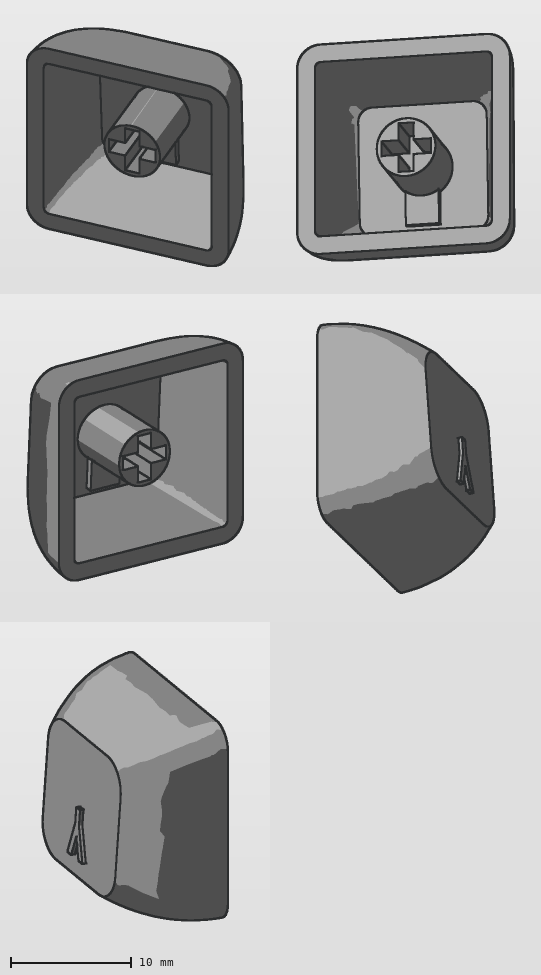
import cadquery as cq
import math


base_size = 18.1
base_radius = 2.0
crown_size = 12.62
crown_radius = 2.66
crown_height = 8.9
crown_tilt = 4.0

wall = 1.52
opening_size = base_size - 2 * wall
opening_radius = 0.5
ceiling_size = 10.93
ceiling_radius = 1.18
ceiling_drop = 0.05
crown_thickness = 1.5
ceiling_height = crown_height - crown_thickness

stem_diameter = 5.0
stem_start = 1.0
cross_length = 4.2
cross_slot = 1.27
cross_depth = 3.98

tile_width = 2.82
tile_top = 0.0
tile_bottom = -4.89
tile_thickness = 0.63
glyph_top = -0.13
glyph_fork = -1.57
glyph_bottom = -4.63
glyph_width = 2.62
stroke = 0.65
glyph_height = 0.33


def tilted_plane(height, tilt, drop=0.0):
    """Sketch plane facing +Y at the given height; its local y axis runs along +Z."""
    angle = math.radians(tilt)
    normal = (0, math.cos(angle), math.sin(angle))
    return cq.Plane(origin=(0, height, -drop), xDir=(-1, 0, 0), normal=normal)


def rounded_square(plane, size, radius):
    square = cq.Workplane(plane).rect(size, size).extrude(0.18)
    rounded = square.edges(cq.selectors.ParallelDirSelector(plane.zDir)).fillet(radius)
    return rounded.faces(cq.selectors.DirectionMinMaxSelector(plane.zDir, False)).val().outerWire()


def domed_loft(size_0, radius_0, size_1, radius_1, height, drop=0.0):
    """Solid whose sides leave the base square to it and curve in along a parabola."""
    quarter = 0.25
    mid_size = size_0 + quarter * (size_1 - size_0)
    mid_radius = radius_0 + quarter * (radius_1 - radius_0)
    sections = [
        rounded_square(tilted_plane(0, 0), size_0, radius_0),
        rounded_square(tilted_plane(height / 2, crown_tilt / 2, drop * quarter), mid_size, mid_radius),
        rounded_square(tilted_plane(height, crown_tilt, drop), size_1, radius_1),
    ]
    return cq.Workplane(cq.Solid.makeLoft(sections))


def make_stem(cavity):
    start = tilted_plane(stem_start, 0)
    stem = cq.Workplane(start).circle(stem_diameter / 2).extrude(crown_height).intersect(cavity)
    for width, height in ((cross_length, cross_slot), (cross_slot, cross_length)):
        stem = stem.cut(cq.Workplane(start).rect(width, height).extrude(cross_depth))
    return stem


def make_legend():
    ceiling = tilted_plane(ceiling_height, crown_tilt)
    tile = (
        cq.Workplane(ceiling)
        .center(0, (tile_top + tile_bottom) / 2)
        .rect(tile_width, tile_top - tile_bottom)
        .extrude(-tile_thickness)
    )

    half_stroke = stroke / 2
    half_width = glyph_width / 2
    leg_rise = glyph_fork - glyph_bottom
    leg_run = half_width - half_stroke
    foot_inner = half_width - stroke * math.hypot(leg_rise, leg_run) / leg_rise
    crotch = glyph_bottom + foot_inner * leg_rise / leg_run
    right_side = [
        (half_stroke, glyph_top),
        (half_stroke, glyph_fork),
        (half_width, glyph_bottom),
        (foot_inner, glyph_bottom),
    ]
    left_side = [(-x, y) for x, y in reversed(right_side)]
    outline = right_side + [(0, crotch)] + left_side
    glyph_length = crown_thickness * math.cos(math.radians(crown_tilt)) + glyph_height
    glyph = cq.Workplane(ceiling).polyline(outline).close().extrude(glyph_length)
    return tile.union(glyph)


shell = domed_loft(base_size, base_radius, crown_size, crown_radius, crown_height)
cavity = domed_loft(
    opening_size, opening_radius, ceiling_size, ceiling_radius, ceiling_height, ceiling_drop
)
legend = make_legend()
keycap = shell.cut(cavity).union(make_stem(cavity)).cut(legend)

result = cq.Compound.makeCompound([keycap.val(), legend.val()])